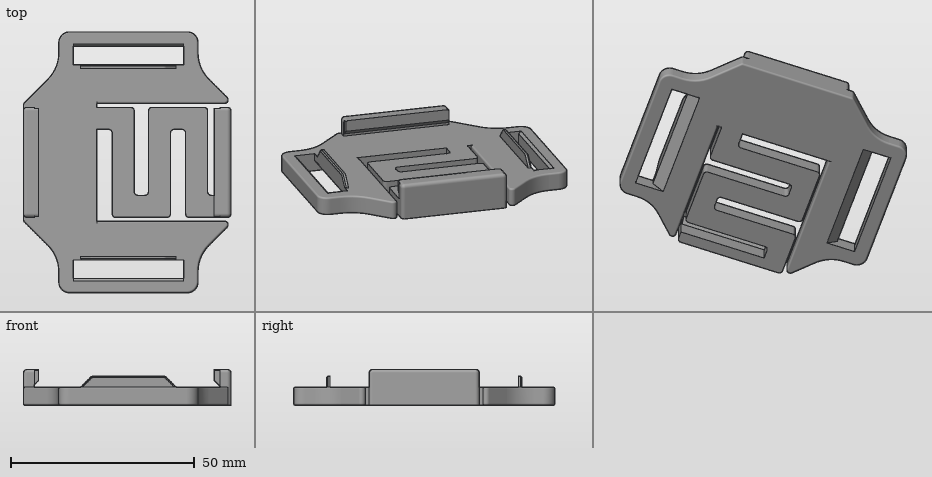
import cadquery as cq

length_x = 56.55
length_y = 71.15
height = 9.8
plate_height = 5.0
left_x = -length_x / 2
right_x = length_x / 2

body_x = 0.32
neck_half = 19.0
neck_corner_radius = 3.0
neck_blend_radius = 10.0
middle_corner_radius = 1.0
edge_radius = 0.5

slot_half = 15.0
slot_inner_y = 26.6
slot_width = 5.0
slot_top_chamfer = 0.7
slot_undercut = 3.0
rib_half = 13.0
rib_thickness = 1.0
rib_height = 3.0
rib_corner_radius = 1.0
rib_chamfer = 0.35

clip_half = 15.0
clip_wall = 3.0
clip_radius = 1.0
left_lip = 1.15
right_lip = 1.65
lip_drop = 3.05
lip_end_inset = 0.3

clearance = 1.0
window_x = -8.25
window_half = clip_half + clearance
spring_width = 6.05
spring_radius = 1.0
leg_starts = (-4.1, 5.75, 15.85)


def box(x_start, x_end, y_start, y_end, z_start, z_end):
    size = (x_end - x_start, y_end - y_start, z_end - z_start)
    return cq.Workplane("XY").box(*size, centered=False).translate((x_start, y_start, z_start))


def make_plate():
    """Plate with the window open to the right and its rims rounded."""
    middle_half = body_x - left_x
    neck_y = window_half + middle_half - neck_half
    end_y = length_y / 2
    right_half = [(neck_half, end_y), (neck_half, neck_y), (middle_half, window_half)]
    upper = right_half + [(window_x - body_x, window_half)]
    lower = [(x, -y) for x, y in reversed(upper)]
    left = [(-x, -y) for x, y in right_half] + [(-x, y) for x, y in reversed(right_half)]
    plate = cq.Workplane("XY").polyline(upper + lower + left).close().extrude(plate_height)

    def round_corners(solid, x, y, radius):
        for side_y in (-y, y):
            point = (x, side_y, plate_height / 2)
            solid = solid.edges(cq.selectors.NearestToPointSelector(point)).fillet(radius)
        return solid

    for side in (-1, 1):
        plate = round_corners(plate, side * neck_half, end_y, neck_corner_radius)
        plate = round_corners(plate, side * neck_half, neck_y, neck_blend_radius)
        plate = round_corners(plate, side * middle_half, window_half, middle_corner_radius)
    plate = plate.translate((body_x, 0, 0))

    nearest = cq.selectors.NearestToPointSelector
    top_end = nearest((window_x, 0, plate_height))
    bottom_end = nearest((window_x, 0, 0))
    rim = cq.selectors.InverseSelector(top_end + bottom_end)
    return plate.faces("|Z").edges(rim).fillet(edge_radius)


def cut_strap_slot(plate):
    """Strap slot on the +Y end, bevelled on its outer top edge and its inner bottom edge."""
    outer_y = slot_inner_y + slot_width
    plate = plate.cut(
        box(body_x - slot_half, body_x + slot_half, slot_inner_y, outer_y, 0, plate_height)
    )
    nearest = cq.selectors.NearestToPointSelector
    plate = plate.edges(nearest((body_x, outer_y, plate_height))).chamfer(slot_top_chamfer)
    return plate.edges(nearest((body_x, slot_inner_y, 0))).chamfer(slot_undercut)


def make_rib():
    """Sloped rib on the +Y side, flush with the slot and bevelled along the slot side."""
    top_half = rib_half - rib_height
    outline = [(-rib_half, 0), (-top_half, rib_height), (top_half, rib_height), (rib_half, 0)]
    rib = cq.Workplane("XZ").polyline(outline).close().extrude(rib_thickness)
    rib = rib.edges("|Y and >Z").fillet(rib_corner_radius)
    rib = rib.faces(">Y").edges("not <Z").chamfer(rib_chamfer)
    return rib.translate((body_x, slot_inner_y, plate_height))


def make_clip(lip, base_z):
    """Clip standing on base_z, whose outer face lies at X = 0 and whose lip points along +X."""
    lip_x = clip_wall + lip
    lip_z = height - lip_drop
    outline = [(0, base_z), (0, height), (lip_x, height), (lip_x, lip_z)]
    outline += [(clip_wall, lip_z - lip), (clip_wall, base_z)]
    clip = cq.Workplane("XZ").polyline(outline).close().extrude(clip_half, both=True)
    clip = clip.edges("(<X and |Z) or (>Z and (not >X))").fillet(clip_radius)
    for end_y in (-clip_half, clip_half - lip_end_inset):
        clip = clip.cut(box(clip_wall, lip_x, end_y, end_y + lip_end_inset, base_z, height))
    return clip


def make_spring():
    """Serpentine of three legs leading from the window end to the right clip."""
    outer = clip_half
    inner = clip_half - spring_width
    first, second, third = leg_starts
    wall_x = right_x - clip_wall
    outline = [
        (window_x, outer),
        (first + spring_width, outer),
        (first + spring_width, -inner),
        (second, -inner),
        (second, outer),
        (third + spring_width, outer),
        (third + spring_width, -inner),
        (wall_x, -inner),
        (wall_x, -outer),
        (third, -outer),
        (third, inner),
        (second + spring_width, inner),
        (second + spring_width, -outer),
        (first, -outer),
        (first, inner),
        (window_x, inner),
    ]
    spring = cq.Workplane("XY").polyline(outline).close().extrude(plate_height)
    return spring.edges("|Z and (not <X) and (not >X)").fillet(spring_radius)


plate = make_plate()
plate = cut_strap_slot(plate)
plate = cut_strap_slot(plate.mirror("XZ"))
rib = make_rib()
left_clip = make_clip(left_lip, plate_height - edge_radius).translate((left_x, 0, 0))
right_clip = make_clip(right_lip, 0).mirror("YZ").translate((right_x, 0, 0))

result = (
    plate.union(rib)
    .union(rib.mirror("XZ"))
    .union(left_clip)
    .union(make_spring())
    .union(right_clip)
)